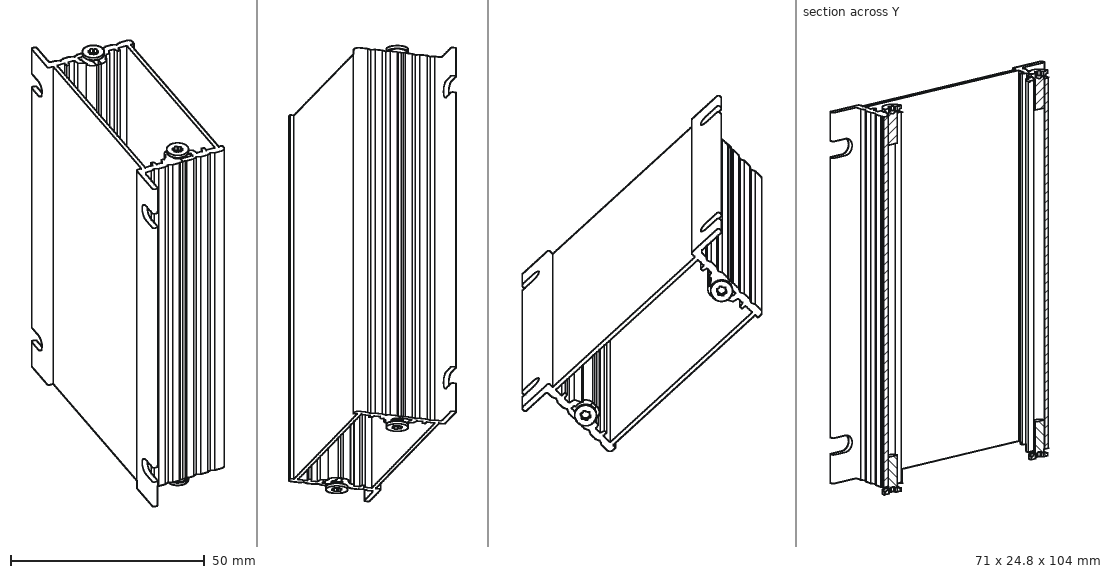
import cadquery as cq
import math

length = 100.0
depth = 24.8
flange_span = 71.0
mid_y = 12.5

wall_outer_x = 27.7
wall_inner_x = 25.6
wall_corner_radius = 1.1

groove_count = 5
groove_pitch = 4.05
groove_width = 2.1
groove_depth = 0.5

panel_thickness = 1.1
front_recess = 1.5
back_recess = 1.0

flange_thickness = 1.45
flange_corner_radius = 0.5
flange_root_radius = 0.6
slot_width = 4.5
slot_end_x = 29.1
slot_end_distance = 10.0

rib_inner = 6.6
rib_outer = 7.7
rib_projection = 1.2
board_slot_flare = 0.3

port_x = 24.5
port_radius = 3.1
lip_start = (3.28, 0)
lip_middle = (2.85, 2.15)
lip_end = (1.95, 2.95)
port_slit_width = 1.4
arm_reach_y = 4.95
port_wall_x = port_x - wall_inner_x
main_arm_heel = (0.1, 3.75)
main_arm_tip = (1.15, 2.88)
hook_arm_heel_x = 0.4
hook_arm_tip = (1.4, -2.77)

tongue_face_x = -1.7
tongue_tip_x = -0.7
tongue_tip_y = -3.45
seam_exit_angle = -60.0
seam_exit_radius = 5.0

shank_diameter = 3.0
head_diameter = 5.65
head_height = 2.0
head_rim_height = 0.8
head_taper_diameter = 4.9
neck_height = 0.35
screw_reach = 8.0
socket_diameter = 2.68
socket_core_diameter = 2.2
socket_lobe_radius = 0.35
socket_lobe_count = 6
socket_depth = 1.2
socket_cone_depth = 0.5


def block(x_min, x_max, y_min, y_max):
    """Full-length bar with a rectangular section."""
    return cq.Workplane("XY").box(
        x_max - x_min, y_max - y_min, length, centered=False
    ).translate((x_min, y_min, 0))


def polar(radius, angle):
    """Point at a radius and an angle in degrees."""
    return (radius * math.cos(math.radians(angle)), radius * math.sin(math.radians(angle)))


def half_turn(shape):
    """Rotate a shape by half a turn about the vertical axis through the middle of the enclosure."""
    return shape.rotate((0, mid_y, 0), (0, mid_y, 1), 180)


def mirrored_pair(shape):
    """A left-hand shape together with its mirror image on the right."""
    return shape.union(shape.mirror("YZ"))


def side_wall():
    """Left side wall with its rounded back corner and outer vee grooves."""
    wall = block(-wall_outer_x, -wall_inner_x, flange_thickness, depth)
    wall = wall.edges("|Z and <X and >Y").fillet(wall_corner_radius)
    for index in range(groove_count):
        groove_y = mid_y + (index - (groove_count - 1) / 2) * groove_pitch
        groove = (
            cq.Workplane("XY")
            .moveTo(-wall_outer_x, groove_y - groove_width / 2)
            .lineTo(-wall_outer_x + groove_depth, groove_y)
            .lineTo(-wall_outer_x, groove_y + groove_width / 2)
            .close()
            .extrude(length)
        )
        wall = wall.cut(groove)
    return wall


def flange():
    """Left mounting flange with two slots open to its outer edge."""
    plate = block(-flange_span / 2, -wall_inner_x, 0, flange_thickness)
    plate = plate.edges("|Z and <X").fillet(flange_corner_radius)
    slot_length = flange_span
    slot_center_x = -slot_end_x - slot_length / 2
    for slot_z in (slot_end_distance, length - slot_end_distance):
        slot = (
            cq.Workplane("XZ")
            .center(slot_center_x, slot_z)
            .slot2D(slot_length, slot_width)
            .extrude(-flange_thickness)
        )
        plate = plate.cut(slot)
    return plate


def flanged_wall():
    """Left wall joined to its flange, rounded at the flange root and the inner front corner."""
    wall = side_wall().union(flange())
    root = cq.NearestToPointSelector((-wall_outer_x, flange_thickness, length / 2))
    inner_corner = cq.NearestToPointSelector((-wall_inner_x, 0, length / 2))
    wall = wall.edges(root).fillet(flange_root_radius)
    return wall.edges(inner_corner).fillet(flange_corner_radius)


def board_rib():
    """Front rib of the left wall; the side facing the port arm tapers to flare the board slot."""
    tip_x = -wall_inner_x + rib_projection
    return (
        cq.Workplane("XY")
        .moveTo(-wall_inner_x, mid_y - rib_outer)
        .lineTo(tip_x, mid_y - rib_outer)
        .lineTo(tip_x, mid_y - rib_inner - board_slot_flare)
        .lineTo(-wall_inner_x, mid_y - rib_inner)
        .close()
        .extrude(length)
    )


def board_ribs():
    """Front and back ribs of the left wall."""
    front_rib = board_rib()
    return front_rib.union(front_rib.mirror("XZ", (0, mid_y, 0)))


def port_lip():
    """Lip on the open side of the port, from the slit round to the lip's end."""
    return (
        cq.Workplane("XY")
        .lineTo(*lip_start)
        .threePointArc(lip_middle, lip_end)
        .close()
        .extrude(length)
    )


def screw_port():
    """Solid section of the left screw port and its two arms, around the origin."""
    port = cq.Workplane("XY").circle(port_radius).extrude(length)
    lip = port_lip()
    main_arm = (
        cq.Workplane("XY")
        .moveTo(port_wall_x, 0)
        .lineTo(port_wall_x, arm_reach_y)
        .lineTo(main_arm_heel[0], arm_reach_y - board_slot_flare)
        .lineTo(*main_arm_heel)
        .lineTo(*main_arm_tip)
        .close()
        .extrude(length)
    )
    hook_arm = (
        cq.Workplane("XY")
        .moveTo(port_wall_x, 0)
        .lineTo(port_wall_x, -arm_reach_y)
        .lineTo(hook_arm_heel_x, -arm_reach_y + board_slot_flare)
        .lineTo(*hook_arm_tip)
        .close()
        .extrude(length)
    )
    return port.union(lip).union(lip.mirror("XZ")).union(main_arm).union(hook_arm)


def port_opening():
    """Screw hole of the left port with the slit on its inner side, around the origin."""
    hole = cq.Workplane("XY").circle(shank_diameter / 2).extrude(length)
    slit = cq.Workplane("XY").box(
        lip_start[0], port_slit_width, length, centered=(False, True, False)
    )
    return hole.union(slit)


def port_pair(shape):
    """Place a port shape in the left wall and, rotated by half a turn, in the right wall."""
    left = shape.translate((-port_x, mid_y, 0))
    return left.union(half_turn(left))


def back_space():
    """Space behind the seam, which steps round the port on the left and, turned, on the right."""
    seam_start_y = -math.sqrt(port_radius**2 - tongue_tip_x**2)
    seam_start_angle = -180 + math.degrees(math.atan(seam_start_y / tongue_tip_x))
    seam_middle_angle = (seam_start_angle + seam_exit_angle) / 2
    outside_x = -flange_span / 2
    left_space = (
        cq.Workplane("XY")
        .moveTo(outside_x, depth)
        .lineTo(outside_x, 0)
        .lineTo(tongue_face_x, 0)
        .lineTo(tongue_face_x, tongue_tip_y)
        .lineTo(tongue_tip_x, tongue_tip_y)
        .lineTo(tongue_tip_x, seam_start_y)
        .threePointArc(polar(port_radius, seam_middle_angle), polar(port_radius, seam_exit_angle))
        .lineTo(*polar(seam_exit_radius, seam_exit_angle))
        .lineTo(port_x, 0)
        .lineTo(port_x, depth)
        .close()
        .extrude(length)
        .translate((-port_x, mid_y, 0))
    )
    right_side = block(0, flange_span, -depth, 2 * depth)
    return left_space.union(right_side.cut(half_turn(left_space)))


def housing():
    """Section of both halves together, before they are parted along the seam."""
    front_panel = block(-wall_inner_x, wall_inner_x, front_recess, front_recess + panel_thickness)
    back_face = depth - back_recess
    back_panel = block(-wall_inner_x, wall_inner_x, back_face - panel_thickness, back_face)
    shell = mirrored_pair(flanged_wall().union(board_ribs()))
    shell = shell.union(front_panel).union(back_panel)
    return shell.union(port_pair(screw_port())).cut(port_pair(port_opening()))


def screw():
    """Countersunk screw pointing down, its head standing on Z = 0."""
    shank_radius = shank_diameter / 2
    head_radius = head_diameter / 2
    body = (
        cq.Workplane("XZ")
        .moveTo(0, -screw_reach)
        .lineTo(shank_radius, -screw_reach)
        .lineTo(shank_radius, neck_height)
        .lineTo(head_taper_diameter / 2, head_height - head_rim_height)
        .lineTo(head_radius, head_height - head_rim_height)
        .lineTo(head_radius, head_height)
        .lineTo(0, head_height)
        .close()
        .revolve(360, (0, 0), (0, 1))
    )
    return body.cut(lobed_socket().translate((0, 0, head_height)))


def lobed_socket():
    """Six-lobed socket below Z = 0 with a conical bottom."""
    core_radius = socket_core_diameter / 2
    lobe_center_radius = socket_diameter / 2 - socket_lobe_radius
    core = cq.Workplane("XY").circle(core_radius).extrude(-socket_depth)
    lobes = (
        cq.Workplane("XY")
        .polarArray(lobe_center_radius, 0, 360, socket_lobe_count)
        .circle(socket_lobe_radius)
        .extrude(-socket_depth)
    )
    cone = (
        cq.Workplane("XZ", origin=(0, 0, -socket_depth))
        .lineTo(core_radius, 0)
        .lineTo(0, -socket_cone_depth)
        .close()
        .revolve(360, (0, 0), (0, 1))
    )
    return core.union(lobes).union(cone)


def screws():
    """One screw in each end of each port."""
    placed = []
    for x in (-port_x, port_x):
        top_screw = screw().translate((x, mid_y, length))
        bottom_screw = top_screw.mirror("XY", (0, 0, length / 2))
        placed.extend([top_screw.val(), bottom_screw.val()])
    return placed


section = housing()
back_half = section.intersect(back_space())
front_half = section.cut(back_space())

result = cq.Compound.makeCompound([*front_half.solids().vals(), *back_half.solids().vals(), *screws()])